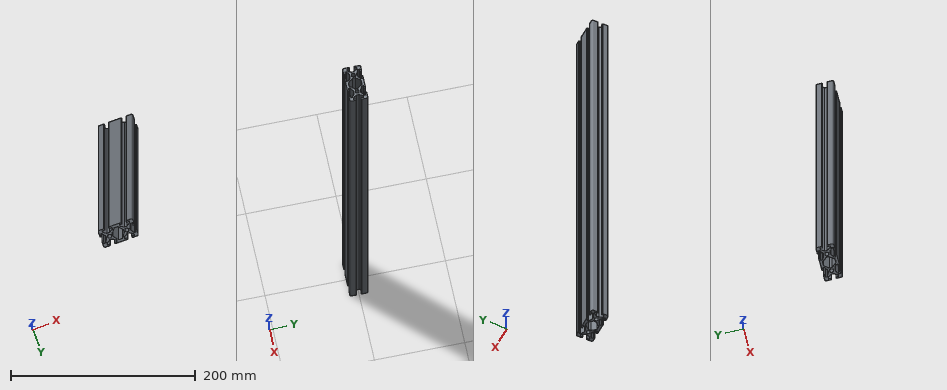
import cadquery as cq

length = 500.0
cell_size = 20.0
bar_width = 2 * cell_size
cell_center_x = cell_size / 2
corner_radius = 2.0

mouth_width = 6.5
opening_width = 5.0
lip_chamfer_depth = 0.5
lip_thickness = 1.75
chamber_width = 11.0
chamber_side = 1.75
floor_width = 2.8
slot_depth = 6.0

core_hole_diameter = 4.2
cavity_width = 13.0
cavity_height = 14.0
cavity_side_flat = 3.0
cavity_top_flat = 4.2


def mirrored_prism(right_half):
    """Full-length prism whose outline is right_half plus its mirror image across the Y axis."""
    left_half = [(-x, y) for x, y in reversed(right_half)]
    return cq.Workplane("XY").polyline(right_half + left_half).close().extrude(length)


def make_bar():
    """Solid bar with rounded long corners."""
    bar = cq.Workplane("XY").rect(bar_width, cell_size).extrude(length)
    return bar.edges("|Z").fillet(corner_radius)


def make_slot():
    """T-slot cutter opening at Y = 0 and running into -Y."""
    taper_start = lip_thickness + chamber_side
    return mirrored_prism([
        (mouth_width / 2, 0),
        (opening_width / 2, -lip_chamfer_depth),
        (opening_width / 2, -lip_thickness),
        (chamber_width / 2, -lip_thickness),
        (chamber_width / 2, -taper_start),
        (floor_width / 2, -slot_depth),
    ])


def make_cavity():
    """Eight-sided passage between the two cells."""
    return mirrored_prism([
        (cavity_top_flat / 2, cavity_height / 2),
        (cavity_width / 2, cavity_side_flat / 2),
        (cavity_width / 2, -cavity_side_flat / 2),
        (cavity_top_flat / 2, -cavity_height / 2),
    ])


def make_core_holes():
    """Round hole through the middle of each cell."""
    centers = [(-cell_center_x, 0), (cell_center_x, 0)]
    return cq.Workplane("XY").pushPoints(centers).circle(core_hole_diameter / 2).extrude(length)


result = make_bar().cut(make_cavity()).cut(make_core_holes())

slot = make_slot()
half_cell = cell_size / 2
for face_angle in (0, 180, -90):
    cell_slot = slot.translate((0, half_cell, 0)).rotate((0, 0, 0), (0, 0, 1), face_angle)
    cell_slot = cell_slot.translate((cell_center_x, 0, 0))
    for half_turn in (0, 180):
        result = result.cut(cell_slot.rotate((0, 0, 0), (0, 0, 1), half_turn))